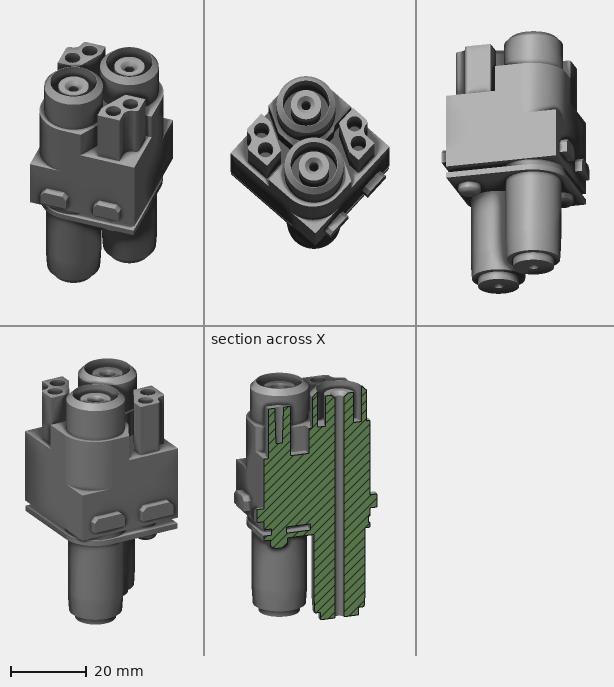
import cadquery as cq
import math

BODY_X = 29.3
BODY_Y = 30.1
BODY_TOP = 27.0
CORNER_RADIUS = 9.0
CORNER_CUT_FLOOR = 13.0

POCKET_FLOOR = 20.0
POCKET_LEFT = 3.45
POCKET_BACK = -2.4
POCKET_STEP_START = 6.6
POCKET_STEP_END = 8.0
POCKET_STEP = 0.8
POCKET_SLANT_START = -8.05
SLANT_ANGLE = 29.0

CONTACT_X = 5.53
CONTACT_Y = 6.35
SOCKET_RADIUS = 7.75
SOCKET_TOP = 37.0
SOCKET_CHAMFER = 1.5
SOCKET_BORE_RADIUS = 6.15
PIN_RADIUS = 4.0
PIN_RECESS = 1.5
SOCKET_BORE_FLOOR = BODY_TOP
THROUGH_RADIUS = 1.25
COUNTERSINK_RADIUS = 2.35
COUNTERSINK_DEPTH = 1.0

NECK_RADIUS = 8.25
NECK_LENGTH = 1.6
PLATE_X = 28.9
PLATE_THICKNESS = 1.5
BARREL_RADIUS = 7.33
BARREL_BOTTOM = -19.5
TAPER_LENGTH = 5.7
TAPER_INSET = 0.3
TAIL_RADIUS = 5.45
TAIL_BOTTOM = -27.3

SCREW_X = 7.2
SCREW_Y = -10.7
SCREW_NECK_RADIUS = 2.75
SCREW_HEAD_RADIUS = 3.0
SCREW_TIP_RADIUS = 1.5
SCREW_RIM_HEIGHT = 1.45
SCREW_DOME_HEIGHT = 1.15
SCREW_DOME_BULGE = 0.2

HOUSING_TOP = 33.9
HOUSING_LEFT = 3.85
HOUSING_RIGHT = 13.45
HOUSING_FRONT = -13.8
HOUSING_BACK = -3.2
HOUSING_SLANT_START = -10.5
RELIEF_X = 10.1
FRONT_RELIEF_Y = -8.8
BACK_RELIEF_Y = -10.45
RELIEF_RADIUS = 2.3
RELIEF_EDGE_RADIUS = 1.0
SIGNAL_RADIUS = 2.05
SIGNAL_FLOOR_RADIUS = 1.85
SIGNAL_DEPTH = 10.0
SIGNAL_POINTS = [(SCREW_X, SCREW_Y), (10.45, -6.4)]

TAB_SPACING = 14.75
TAB_PROJECTION = 2.0
TAB_BOTTOM = 2.3
TAB_HEIGHT = 3.8
TAB_CHAMFER = 1.1
FRONT_TAB_WIDTH = 7.15
BACK_TAB_WIDTH = 9.25

PLATE_TOP = -NECK_LENGTH
PLATE_BOTTOM = PLATE_TOP - PLATE_THICKNESS
TAPER_BOTTOM = BARREL_BOTTOM - TAPER_LENGTH
PIN_TOP = SOCKET_TOP - PIN_RECESS
SLANT = math.tan(math.radians(SLANT_ANGLE))


def half_turn(shape):
    return shape.rotate((0, 0, 0), (0, 0, 1), 180)


def with_opposite(shape):
    """The shape together with its copy turned half a turn about Z."""
    return shape.union(half_turn(shape))


def cylinder(x, y, radius, bottom, top):
    return cq.Workplane("XY", origin=(x, y, bottom)).circle(radius).extrude(top - bottom)


def round_cornered_block(length, width, bottom, top):
    """Block rounded on the two corners next to the power contacts."""
    block = cq.Workplane("XY", origin=(0, 0, bottom)).rect(length, width).extrude(top - bottom)
    rounded_edges = cq.selectors.SumSelector(
        cq.selectors.BoxSelector((0, 0, bottom - 1), (length, width, top + 1)),
        cq.selectors.BoxSelector((-length, -width, bottom - 1), (0, 0, top + 1)),
    )
    return block.edges("|Z").edges(rounded_edges).fillet(CORNER_RADIUS)


def signal_pocket():
    front = -BODY_Y / 2
    right = BODY_X / 2
    slant_end = POCKET_LEFT - (POCKET_SLANT_START - front) * SLANT
    outline = [
        (slant_end, front),
        (POCKET_LEFT, POCKET_SLANT_START),
        (POCKET_LEFT, POCKET_BACK),
        (POCKET_STEP_START, POCKET_BACK),
        (POCKET_STEP_END, POCKET_BACK + POCKET_STEP),
        (right, POCKET_BACK + POCKET_STEP),
        (right, front),
    ]
    plane = cq.Workplane("XY", origin=(0, 0, POCKET_FLOOR))
    return plane.polyline(outline).close().extrude(BODY_TOP - POCKET_FLOOR)


def body():
    base = cq.Workplane("XY").rect(BODY_X, BODY_Y).extrude(CORNER_CUT_FLOOR)
    upper = round_cornered_block(BODY_X, BODY_Y, CORNER_CUT_FLOOR, BODY_TOP)
    return base.union(upper).cut(with_opposite(signal_pocket()))


def signal_hole(x, y):
    """Blind hole that narrows slightly towards its floor."""
    opening = cq.Workplane("XY", origin=(x, y, HOUSING_TOP)).circle(SIGNAL_RADIUS)
    floor = opening.workplane(offset=-SIGNAL_DEPTH).circle(SIGNAL_FLOOR_RADIUS)
    return floor.loft(ruled=True)


def signal_housing(relief_y, rounded_corners):
    """Housing in the front right pocket, with its outer corner relieved from relief_y forwards."""
    slant_end = HOUSING_LEFT + (HOUSING_BACK - HOUSING_SLANT_START) * SLANT
    bulge = RELIEF_RADIUS * (1 - math.cos(math.pi / 4))
    housing = (
        cq.Workplane("XY", origin=(0, 0, POCKET_FLOOR))
        .moveTo(HOUSING_LEFT, HOUSING_FRONT)
        .lineTo(RELIEF_X, HOUSING_FRONT)
        .lineTo(RELIEF_X, relief_y - RELIEF_RADIUS)
        .threePointArc((RELIEF_X + bulge, relief_y - bulge), (RELIEF_X + RELIEF_RADIUS, relief_y))
        .lineTo(HOUSING_RIGHT, relief_y)
        .lineTo(HOUSING_RIGHT, HOUSING_BACK)
        .lineTo(slant_end, HOUSING_BACK)
        .lineTo(HOUSING_LEFT, HOUSING_SLANT_START)
        .close()
        .extrude(HOUSING_TOP - POCKET_FLOOR)
    )
    middle = (POCKET_FLOOR + HOUSING_TOP) / 2
    for x, y in rounded_corners:
        corner = cq.selectors.NearestToPointSelector((x, y, middle))
        housing = housing.edges("|Z").edges(corner).fillet(RELIEF_EDGE_RADIUS)
    for x, y in SIGNAL_POINTS:
        housing = housing.cut(signal_hole(x, y))
    return housing


def front_housing():
    return signal_housing(FRONT_RELIEF_Y, [(HOUSING_RIGHT, FRONT_RELIEF_Y)])


def back_housing():
    corners = [(HOUSING_RIGHT, BACK_RELIEF_Y), (RELIEF_X, HOUSING_FRONT)]
    return half_turn(signal_housing(BACK_RELIEF_Y, corners))


def power_contact():
    """Socket, neck, barrel and tail, revolved about the contact's own axis."""
    profile = (
        cq.Workplane("XZ")
        .moveTo(0, TAIL_BOTTOM)
        .lineTo(TAIL_RADIUS, TAIL_BOTTOM)
        .lineTo(TAIL_RADIUS, TAPER_BOTTOM)
        .lineTo(BARREL_RADIUS - TAPER_INSET, TAPER_BOTTOM)
        .threePointArc(
            (BARREL_RADIUS - TAPER_INSET / 4, BARREL_BOTTOM - TAPER_LENGTH / 2),
            (BARREL_RADIUS, BARREL_BOTTOM),
        )
        .lineTo(BARREL_RADIUS, PLATE_TOP)
        .lineTo(NECK_RADIUS, PLATE_TOP)
        .lineTo(NECK_RADIUS, 0)
        .lineTo(SOCKET_RADIUS, 0)
        .lineTo(SOCKET_RADIUS, SOCKET_TOP - SOCKET_CHAMFER)
        .lineTo(SOCKET_RADIUS - SOCKET_CHAMFER, SOCKET_TOP)
        .lineTo(SOCKET_BORE_RADIUS, SOCKET_TOP)
        .lineTo(SOCKET_BORE_RADIUS, SOCKET_BORE_FLOOR)
        .lineTo(PIN_RADIUS, SOCKET_BORE_FLOOR)
        .lineTo(PIN_RADIUS, PIN_TOP)
        .lineTo(0, PIN_TOP)
        .close()
    )
    contact = profile.revolve(360, (0, 0), (0, 1))
    return contact.translate((-CONTACT_X, -CONTACT_Y, 0))


def contact_hole():
    """Through hole with a countersink in the pin end."""
    countersink_bottom = PIN_TOP - COUNTERSINK_DEPTH
    hole = (
        cq.Workplane("XZ")
        .moveTo(0, TAIL_BOTTOM)
        .lineTo(THROUGH_RADIUS, TAIL_BOTTOM)
        .lineTo(THROUGH_RADIUS, countersink_bottom)
        .lineTo(COUNTERSINK_RADIUS, PIN_TOP)
        .lineTo(0, PIN_TOP)
        .close()
        .revolve(360, (0, 0), (0, 1))
    )
    return hole.translate((-CONTACT_X, -CONTACT_Y, 0))


def screw():
    """Neck above the plate and domed head below it."""
    rim = PLATE_BOTTOM - SCREW_RIM_HEIGHT
    tip = rim - SCREW_DOME_HEIGHT
    dome_middle = (
        (SCREW_HEAD_RADIUS + SCREW_TIP_RADIUS) / 2 + SCREW_DOME_BULGE,
        (rim + tip) / 2 - SCREW_DOME_BULGE,
    )
    head = (
        cq.Workplane("XZ")
        .moveTo(0, PLATE_BOTTOM)
        .lineTo(SCREW_HEAD_RADIUS, PLATE_BOTTOM)
        .lineTo(SCREW_HEAD_RADIUS, rim)
        .threePointArc(dome_middle, (SCREW_TIP_RADIUS, tip))
        .lineTo(0, tip)
        .close()
        .revolve(360, (0, 0), (0, 1))
        .translate((SCREW_X, SCREW_Y, 0))
    )
    return head.union(cylinder(SCREW_X, SCREW_Y, SCREW_NECK_RADIUS, PLATE_TOP, 0))


def coding_tab(x, side, width):
    """Tab with chamfered upper corners on the front (-1) or back (+1) wall."""
    reach = BODY_Y / 2 + TAB_PROJECTION
    tab = cq.Workplane("XY").box(width, TAB_PROJECTION, TAB_HEIGHT)
    tab = tab.edges("|Y and >Z").chamfer(TAB_CHAMFER)
    return tab.translate((x, side * (reach - TAB_PROJECTION / 2), TAB_BOTTOM + TAB_HEIGHT / 2))


part = body()
part = part.union(round_cornered_block(PLATE_X, BODY_Y, PLATE_BOTTOM, PLATE_TOP))
part = part.union(with_opposite(power_contact()))
part = part.union(with_opposite(screw()))
part = part.union(front_housing()).union(back_housing())
for tab_x in (-TAB_SPACING / 2, TAB_SPACING / 2):
    part = part.union(coding_tab(tab_x, -1, FRONT_TAB_WIDTH))
    part = part.union(coding_tab(tab_x, 1, BACK_TAB_WIDTH))
result = part.cut(with_opposite(contact_hole()))